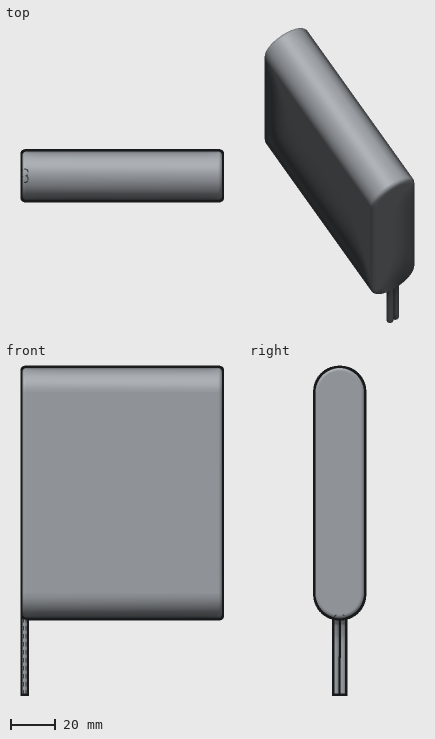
import cadquery as cq

overall_height = 147.2
body_width = 90.5
body_depth = 23.0
body_height = 113.4
edge_radius = 2.0
wire_diameter = 3.1
wire_spacing = 3.0

body_left = -body_width / 2
body_bottom = -body_height / 2
wire_bottom = body_height / 2 - overall_height
wire_top = body_bottom + edge_radius
wire_x = body_left + wire_diameter / 2


def make_body():
    """Flat pack with fully rounded top and bottom and softened side rims."""
    return (
        cq.Workplane("YZ")
        .slot2D(body_height, body_depth, 90)
        .extrude(body_width / 2, both=True)
        .faces("<X or >X")
        .edges()
        .fillet(edge_radius)
    )


def make_wires():
    """Pair of wires hanging side by side, flush with the left side."""
    wires = cq.Workplane("XY")
    for wire_y in (-wire_spacing / 2, wire_spacing / 2):
        wire = (
            cq.Workplane("XY", origin=(wire_x, wire_y, wire_bottom))
            .circle(wire_diameter / 2)
            .extrude(wire_top - wire_bottom)
        )
        wires = wires.add(wire)
    return wires.combine()


result = make_body().union(make_wires())